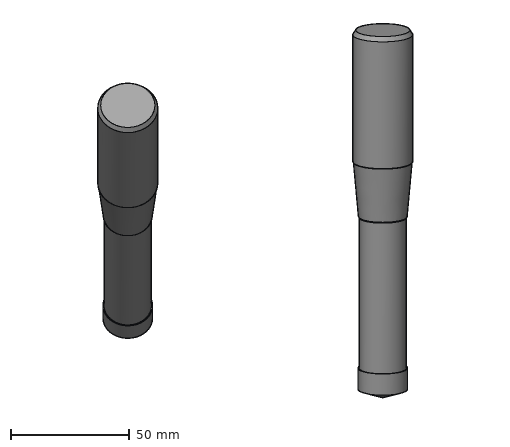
import cadquery as cq
import math

overall_length = 160.02
shank_diameter = 25.4
shank_length = 57.15
shank_chamfer_width = 1.27
shank_chamfer_length = 2.0
upper_bevel_length = 0.3
taper_top_diameter = 24.9
taper_bottom_diameter = 20.7
taper_length = 23.6
lower_bevel_length = 0.5
neck_diameter = 20.0
head_diameter = 21.0
head_length = 13.0
point_angle = 140.0

shank_radius = shank_diameter / 2
taper_top_radius = taper_top_diameter / 2
taper_bottom_radius = taper_bottom_diameter / 2
neck_radius = neck_diameter / 2
head_radius = head_diameter / 2

point_height = head_radius / math.tan(math.radians(point_angle / 2))
shank_bottom = overall_length - shank_length
taper_top = shank_bottom - upper_bevel_length
taper_bottom = taper_top - taper_length
neck_top = taper_bottom - lower_bevel_length

half_section = cq.Plane(origin=(0, 0, 0), xDir=(-1, 0, 0), normal=(0, 1, 0))


def revolve_profile(points):
    """Turn a closed (radius, height) outline about the Z axis."""
    outline = cq.Workplane(half_section).polyline(points).close()
    return outline.revolve(360, (0, 0, 0), (0, 1, 0))


def make_holder():
    """Chamfered shank, tapered shoulder with bevelled ends and slim neck, turned in one piece."""
    return revolve_profile([
        (0, head_length),
        (neck_radius, head_length),
        (neck_radius, neck_top),
        (taper_bottom_radius, taper_bottom),
        (taper_top_radius, taper_top),
        (shank_radius, shank_bottom),
        (shank_radius, overall_length - shank_chamfer_length),
        (shank_radius - shank_chamfer_width, overall_length),
        (0, overall_length),
    ])


def make_cutting_head():
    """Cutting head below the neck: a short cylinder ending in a conical point."""
    return revolve_profile([
        (0, 0),
        (head_radius, point_height),
        (head_radius, head_length),
        (0, head_length),
    ])


holder = make_holder()
cutting_head = make_cutting_head()

result = cq.Compound.makeCompound([holder.val(), cutting_head.val()])